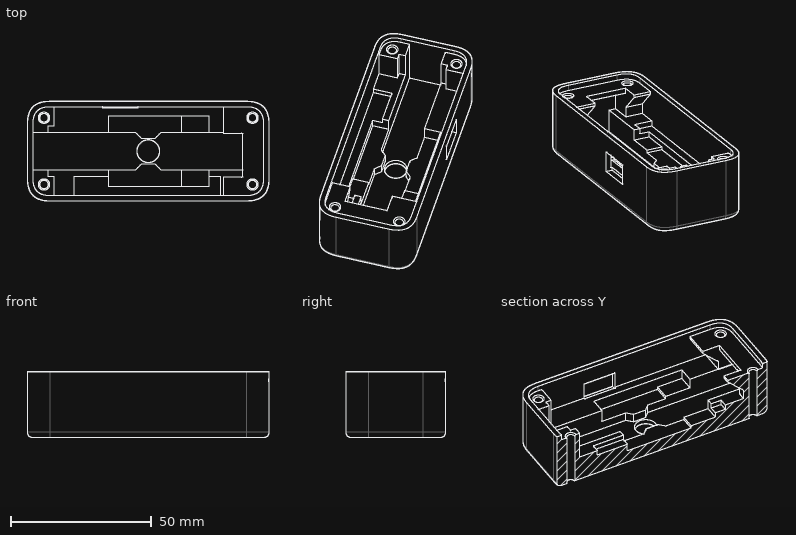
import cadquery as cq

length = 86.0
width = 35.5
height = 23.5
wall = 2.0
floor = 2.0
corner_reach = 8.0
corner_fullness = 0.67
bottom_radius = 2.0

ledge_z = 10.4
shelf_z = 21.4
deep_pocket_z = ledge_z - 5.0
shallow_pocket_z = ledge_z - 3.95

channel_half_width = 6.6
neck_half_width = 4.6
neck_half_length = 2.4
neck_taper = channel_half_width - neck_half_width
floor_hole_diameter = 8.0

pocket_left = -14.1
pocket_step = 11.8
pocket_right = 21.7
pocket_half_width = 12.55

recess_left = -26.3
recess_right = 25.7
recess_inner_y = -8.95
recess_depth = 2.0

post_edge = -33.5
post_notch_edge = -35.6
post_notch_y = 8.95
shelf_edge = 26.75
shelf_opening_end = 33.5
shelf_opening_back = 6.4
shelf_opening_front = -9.2
shelf_lip = 0.95
slope_end = 33.1
shelf_bridge = 2.0
screw_x = 37.1
screw_y = 11.9
screw_diameter = 3.0
countersink_diameter = 4.0
countersink_depth = 0.5
countersink_angle = 45

window_left = -16.25
window_right = -3.7
window_bottom = 9.3
window_top = 16.85
window_inset = 0.4

inner_x = length / 2 - wall
inner_y = width / 2 - wall


def box(x0, x1, y0, y1, z0, z1):
    """Box given by its limits along each axis."""
    return cq.Workplane("XY").box(x1 - x0, y1 - y0, z1 - z0, centered=False).translate((x0, y0, z0))


def rounded_block(inset, z0, z1):
    """Upright block with the shell's soft-cornered outline, moved inward by inset.

    Each corner is a cubic curve that leaves the straight sides smoothly and
    fills the corner slightly more than a circular arc would.
    """
    x = length / 2 - inset
    y = width / 2 - inset
    reach = corner_reach - inset
    handle = reach * (1 - corner_fullness)
    outline = cq.Workplane("XY").workplane(offset=z0).moveTo(x, reach - y)
    corners = [
        (x, y, (0, 1), (-1, 0)),
        (-x, y, (-1, 0), (0, -1)),
        (-x, -y, (0, -1), (1, 0)),
        (x, -y, (1, 0), (0, 1)),
    ]
    for corner_x, corner_y, (in_x, in_y), (out_x, out_y) in corners:
        start = (corner_x - reach * in_x, corner_y - reach * in_y)
        start_handle = (corner_x - handle * in_x, corner_y - handle * in_y)
        end_handle = (corner_x + handle * out_x, corner_y + handle * out_y)
        end = (corner_x + reach * out_x, corner_y + reach * out_y)
        outline = outline.lineTo(*start).bezier([start_handle, end_handle, end], includeCurrent=True)
    return outline.close().extrude(z1 - z0)


def channel():
    """Full-length channel with a short neck at its middle."""
    taper_end = neck_half_length + neck_taper
    half_outline = [
        (-inner_x, channel_half_width),
        (-taper_end, channel_half_width),
        (-neck_half_length, neck_half_width),
        (neck_half_length, neck_half_width),
        (taper_end, channel_half_width),
        (inner_x, channel_half_width),
    ]
    outline = half_outline + [(x, -y) for x, y in reversed(half_outline)]
    return cq.Workplane("XY").workplane(offset=floor).polyline(outline).close().extrude(ledge_z - floor)


def stepped_pocket():
    """Pocket crossing both ledges, shallower at its +X end."""
    deep = box(pocket_left, pocket_step, -pocket_half_width, pocket_half_width, deep_pocket_z, ledge_z)
    shallow = box(pocket_step, pocket_right, -pocket_half_width, pocket_half_width, shallow_pocket_z, ledge_z)
    return deep.union(shallow)


def left_posts():
    """Two notched screw posts in the -X corners."""
    outline = [
        (-inner_x, channel_half_width),
        (post_notch_edge, channel_half_width),
        (post_notch_edge, post_notch_y),
        (post_edge, post_notch_y),
        (post_edge, inner_y),
        (-inner_x, inner_y),
    ]
    post = cq.Workplane("XY").workplane(offset=ledge_z).polyline(outline).close().extrude(shelf_z - ledge_z)
    return post.union(post.mirror("XZ"))


def right_shelf():
    """Shelf bridging the channel, on two blocks with 45 degree undersides."""
    slope_run = slope_end - shelf_edge
    profile = [
        (shelf_edge, shelf_z),
        (shelf_edge, shelf_z - shelf_lip),
        (slope_end, shelf_z - shelf_lip - slope_run),
        (slope_end, ledge_z),
        (inner_x, ledge_z),
        (inner_x, shelf_z),
    ]
    blocks = cq.Workplane("XZ").polyline(profile).close().extrude(inner_y, both=True)
    opening = box(shelf_edge, inner_x, shelf_opening_front, shelf_opening_back, ledge_z, shelf_z)
    bridge = box(
        shelf_opening_end, inner_x, shelf_opening_front, shelf_opening_back, shelf_z - shelf_bridge, shelf_z
    )
    return blocks.cut(opening).union(bridge)


cavity = rounded_block(wall, ledge_z, height)
shell = rounded_block(0, 0, height).faces("<Z").edges().fillet(bottom_radius).cut(cavity)

recess = box(recess_left, recess_right, -inner_y, recess_inner_y, ledge_z - recess_depth, ledge_z)
shell = shell.cut(channel()).cut(stepped_pocket()).cut(recess)

shell = shell.union(left_posts().union(right_shelf()).intersect(cavity))

window = box(window_left, window_right, inner_y - window_inset, width / 2, window_bottom, window_top)
shell = shell.cut(window)

floor_hole = cq.Workplane("XY").circle(floor_hole_diameter / 2).extrude(floor)
screw_holes = (
    cq.Workplane("XY")
    .workplane(offset=shelf_z)
    .rect(2 * screw_x, 2 * screw_y, forConstruction=True)
    .vertices()
)
through_holes = screw_holes.circle(screw_diameter / 2).extrude(-shelf_z)
countersinks = screw_holes.circle(countersink_diameter / 2).extrude(-countersink_depth, taper=countersink_angle)

result = shell.cut(floor_hole).cut(through_holes).cut(countersinks)